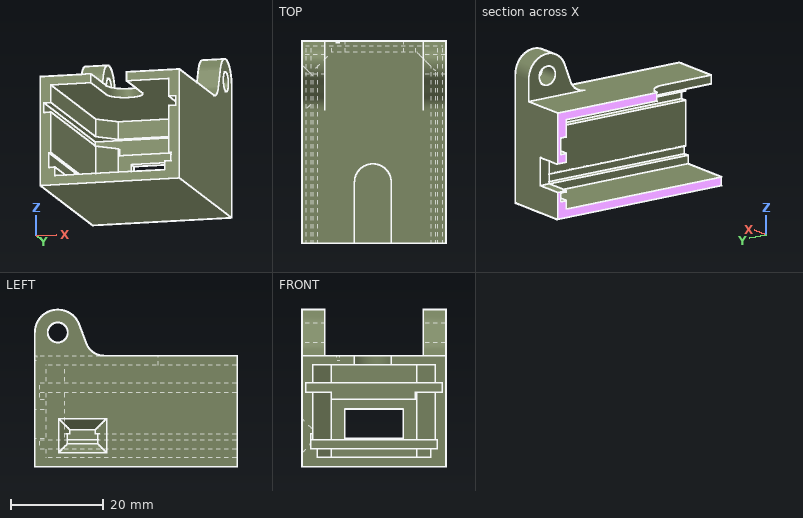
import cadquery as cq
import math


width = 31.3
length = 44.0
box_height = 24.2
half_width = width / 2

side_wall = 2.4
floor_thickness = 2.05
roof_thickness = 2.0
back_wall = 2.4
corner_bevel = 4.0
half_cavity = half_width - side_wall
cavity_length = length - back_wall
cavity_top = box_height - roof_thickness

ledge_top = 3.95
ledge_wall = 3.3

slot_back_wall = 1.0
slot_length = length - slot_back_wall
lower_slot_top = 5.85
lower_slot_wall = 1.9
left_relief_top = 7.2
upper_slot_bottom = 16.2
upper_slot_top = 18.3
upper_slot_wall = 0.85

recess_bottom = 14.65
recess_left = half_cavity - corner_bevel
recess_right = 8.95

window_width = 12.7
window_bottom = 6.2
window_top = 12.55

funnel_length = 10.4
funnel_height = 7.4
funnel_center_y = length - 10.4
funnel_center_z = 6.8
funnel_depth = 3.5

roof_slot_width = 8.0
roof_slot_length = 17.3
roof_slot_x = -0.25

lug_thickness = 5.0
lug_radius = 5.0
lug_rise = 5.0
lug_hole_diameter = 4.3
lug_fillet = 4.0
lug_reach = 15.0

notch_width = 0.7
notch_depth = 0.45
notch_height = 1.0
notch_x = -7.9


def block(x_min, x_max, y_min, y_max, z_min, z_max):
    """Box between the given limits."""
    size = (x_max - x_min, y_max - y_min, z_max - z_min)
    return cq.Workplane("XY").box(*size, centered=False).translate((x_min, y_min, z_min))


def cavity():
    """Main chamber above the ledges and the narrower chamber between them."""
    chamber = block(-half_cavity, half_cavity, 0, cavity_length, floor_thickness, cavity_top)
    chamber = chamber.edges("|Z and >Y").chamfer(corner_bevel)
    half_low = half_width - ledge_wall
    for side in (-1, 1):
        ledge_limits = sorted((side * half_low, side * half_width))
        chamber = chamber.cut(block(*ledge_limits, 0, length, 0, ledge_top))
    return chamber


def guide_slots():
    """Lower and upper slots, the relief over the left lower slot and the back recess."""
    half_lower = half_width - lower_slot_wall
    half_upper = half_width - upper_slot_wall
    relief_end = cavity_length - corner_bevel
    lower = block(-half_lower, half_lower, 0, slot_length, ledge_top, lower_slot_top)
    upper = block(-half_upper, half_upper, 0, slot_length, upper_slot_bottom, upper_slot_top)
    relief = block(-half_lower, -half_cavity, 0, relief_end, lower_slot_top, left_relief_top)
    recess = block(-recess_left, recess_right, relief_end, slot_length, recess_bottom, upper_slot_bottom)
    return lower.union(upper).union(relief).union(recess)


def back_window():
    half = window_width / 2
    return block(-half, half, cavity_length - corner_bevel, length, window_bottom, window_top)


def side_funnel():
    inner_length = funnel_length - 2 * funnel_depth
    inner_height = funnel_height - 2 * funnel_depth
    return (
        cq.Workplane("YZ", origin=(-half_width, funnel_center_y, funnel_center_z))
        .rect(funnel_length, funnel_height)
        .workplane(offset=funnel_depth)
        .rect(inner_length, inner_height)
        .loft(ruled=True)
    )


def roof_slot():
    radius = roof_slot_width / 2
    straight = roof_slot_length - radius
    return (
        cq.Workplane("XY", origin=(roof_slot_x, 0, cavity_top))
        .moveTo(-radius, 0)
        .lineTo(-radius, straight)
        .threePointArc((0, roof_slot_length), (radius, straight))
        .lineTo(radius, 0)
        .close()
        .extrude(roof_thickness)
    )


def lug(x_min):
    """Rounded lug whose front slope is tangent to its rim and to the foot fillet."""
    rim_y = length - lug_radius
    rim_z = box_height + lug_rise
    foot_y = length - lug_reach
    fillet_z = box_height + lug_fillet
    span_y = rim_y - foot_y
    span_z = rim_z - fillet_z
    distance = math.hypot(span_y, span_z)
    tilt = math.acos((lug_radius + lug_fillet) / distance) - math.atan2(span_z, span_y)

    def rim_point(angle):
        return rim_y - lug_radius * math.cos(angle), rim_z + lug_radius * math.sin(angle)

    def fillet_point(angle):
        return foot_y + lug_fillet * math.cos(angle), fillet_z - lug_fillet * math.sin(angle)

    return (
        cq.Workplane("YZ", origin=(x_min, 0, 0))
        .moveTo(length, box_height)
        .lineTo(length, rim_z)
        .threePointArc(rim_point(math.pi / 2), rim_point(tilt))
        .lineTo(*fillet_point(tilt))
        .threePointArc(fillet_point((tilt + math.pi / 2) / 2), (foot_y, box_height))
        .close()
        .extrude(lug_thickness)
        .cut(
            cq.Workplane("YZ", origin=(x_min, rim_y, rim_z))
            .circle(lug_hole_diameter / 2)
            .extrude(lug_thickness)
        )
    )


def edge_notch():
    half = notch_width / 2
    return block(
        notch_x - half, notch_x + half, length - notch_depth, length, box_height - notch_height, box_height
    )


body = block(-half_width, half_width, 0, length, 0, box_height)
for lug_x in (-half_width, half_width - lug_thickness):
    body = body.union(lug(lug_x))
for opening in (cavity(), guide_slots(), back_window(), side_funnel(), roof_slot(), edge_notch()):
    body = body.cut(opening)
result = body